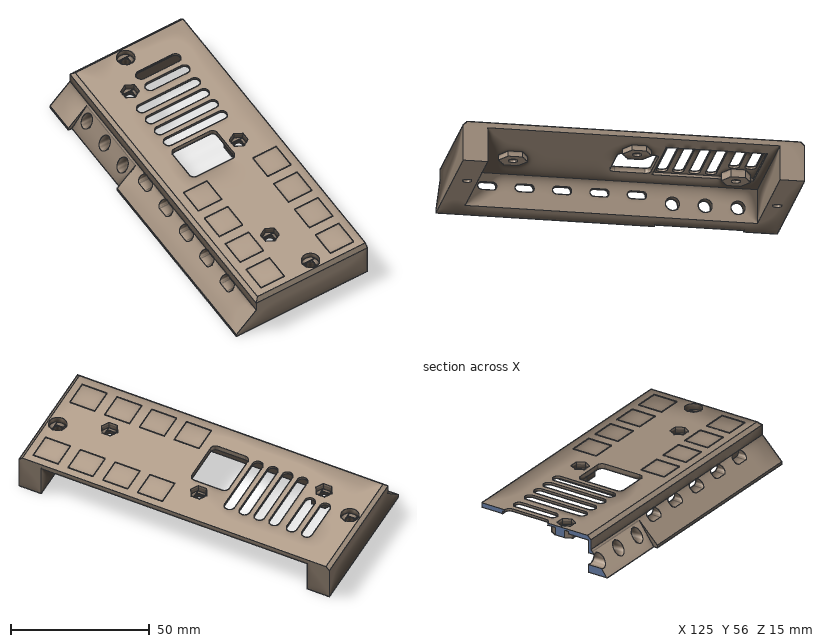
import cadquery as cq
import math

length = 125.0
depth = 56.0
height = 15.0

front_wall = 1.2
end_wall = 9.0
roof = 2.0
roof_underside = height - roof
edge_chamfer = 1.4

lip_height = 1.1
skirt_run = 8.5
skirt_top = lip_height + skirt_run

panel_left = 12.3
panel_right = 45.0
panel_setback = 1.5
panel_top_margin = 0.65
panel_top_y = skirt_run - panel_top_margin
panel_top_z = lip_height + panel_top_y
panel_hole_diameter = 5.1
panel_hole_count = 3
panel_hole_pitch = 12.0
panel_hole_first_x = 16.1
panel_hole_z = 5.6

front_slot_count = 5
front_slot_pitch = 13.7
front_slot_first_x = 53.1
front_slot_width = 7.0
front_slot_height = 3.0
front_slot_z = skirt_top - front_slot_height / 2

pad_size = 10.0
pad_depth = 0.3
pad_first_x = 73.8
pad_pitch = 14.0
pad_count = 4
pad_rows_y = (18.2, 47.8)

vent_width = 4.0
vent_back = 46.0
short_vent_front = 27.4
long_vent_front = 19.4
short_vents_x = (15.0, 21.1)
long_vents_x = (28.1, 34.1, 40.1, 46.1)
vent_roof = 1.0
vent_margin = 1.0

window_width = 15.0
window_depth = 19.0
window_radius = 2.0
window_center = (57.6, 28.8)

screw_head_points = ((5.2, 29.0), (119.8, 35.0))
nut_points = ((19.1, 22.0), (59.0, 43.0), (101.9, 29.0))
screw_diameter = 3.3
head_diameter = 6.6
nut_across_flats = 5.5
mouth_across_flats = 5.8
mouth_depth = 1.0
pocket_depth = 2.3
step_depth = 0.3
boss_across_flats = 9.2
boss_height = 4.0
hexagon_sides = 6


def block(x_range, y_range, z_range):
    """Axis-aligned box between pairs of limits."""
    size = [limits[1] - limits[0] for limits in (x_range, y_range, z_range)]
    corner = (x_range[0], y_range[0], z_range[0])
    return cq.Workplane("XY").box(*size, centered=False).translate(corner)


def make_body():
    """Solid outer shape: skirt profile along the full length, chamfered around the roof but not behind."""
    outline = [
        (0, 0),
        (depth, 0),
        (depth, height),
        (skirt_run, height),
        (skirt_run, skirt_top),
        (0, lip_height),
    ]
    body = cq.Workplane("YZ").polyline(outline).close().extrude(length)
    return body.faces(">Z").edges("<X or >X or <Y").chamfer(edge_chamfer)


def make_panel_cut():
    """Wedge removed from the skirt in front of the steeper panel."""
    panel_width = panel_right - panel_left
    outline = [(panel_setback, 0), (panel_top_y, panel_top_z), (0, panel_top_z), (0, 0)]
    wedge = cq.Workplane("YZ").polyline(outline).close().extrude(panel_width)
    return wedge.translate((panel_left, 0, 0))


def make_cavity():
    """Inside space, open below and behind, with upright walls."""
    return block((end_wall, length - end_wall), (skirt_run + front_wall, depth), (0, roof_underside))


def hexagon_corners(across_flats):
    """Corner-to-corner size of a regular hexagon."""
    return across_flats / math.cos(math.pi / hexagon_sides)


def make_vent_recess():
    """Recess under the roof that thins it around the vent slots."""
    reach = vent_width / 2 + vent_margin
    return block(
        (short_vents_x[0] - reach, long_vents_x[-1] + reach),
        (long_vent_front - vent_margin, vent_back + vent_margin),
        (roof_underside, height - vent_roof),
    )


def make_nut_bosses():
    """Hexagonal bosses under the roof that carry the nut pockets."""
    base_z = height - boss_height
    return (
        cq.Workplane("XY").workplane(offset=base_z)
        .pushPoints(nut_points).polygon(hexagon_sides, hexagon_corners(boss_across_flats))
        .extrude(boss_height - vent_roof)
    )


def make_nut_pocket():
    """Hexagonal pocket, standing on its floor, with a tapered mouth."""
    straight_depth = pocket_depth - mouth_depth
    pocket = cq.Workplane("XY").polygon(hexagon_sides, hexagon_corners(nut_across_flats)).extrude(pocket_depth)
    mouth = (
        cq.Workplane("XY").workplane(offset=straight_depth)
        .polygon(hexagon_sides, hexagon_corners(nut_across_flats))
        .workplane(offset=mouth_depth)
        .polygon(hexagon_sides, hexagon_corners(mouth_across_flats))
        .loft(ruled=True)
    )
    return pocket.union(mouth)


def cut_screw_hole(part, point, pocket):
    """Sink a pocket, then narrow it to the screw hole in two thin steps: a strip and a square."""
    x, y = point
    half = screw_diameter / 2
    pocket_floor = height - pocket_depth
    strip_floor = pocket_floor - step_depth
    square_floor = strip_floor - step_depth
    across = (x - half, x + half)
    pocket = pocket.translate((x, y, pocket_floor))
    strip_limits = block(across, (y - head_diameter, y + head_diameter), (strip_floor, pocket_floor))
    strip = pocket.translate((0, 0, -step_depth)).intersect(strip_limits)
    square = block(across, (y - half, y + half), (square_floor, strip_floor))
    hole = cq.Workplane("XY").circle(half).extrude(height).translate((x, y, 0))
    return part.cut(pocket).cut(strip).cut(square).cut(hole)


def cut_screw_holes(part):
    head_pocket = cq.Workplane("XY").circle(head_diameter / 2).extrude(pocket_depth)
    nut_pocket = make_nut_pocket()
    for point in screw_head_points:
        part = cut_screw_hole(part, point, head_pocket)
    for point in nut_points:
        part = cut_screw_hole(part, point, nut_pocket)
    return part


def make_vents(x_positions, front_y):
    center_y = (front_y + vent_back) / 2
    points = [(x, center_y) for x in x_positions]
    return (
        cq.Workplane("XY").workplane(offset=roof_underside)
        .pushPoints(points).slot2D(vent_back - front_y, vent_width, 90).extrude(roof)
    )


def make_window():
    window = cq.Workplane("XY").box(window_width, window_depth, height, centered=(True, True, False))
    return window.edges("|Z").fillet(window_radius).translate((*window_center, 0))


def make_pads():
    points = [(pad_first_x + i * pad_pitch, y) for i in range(pad_count) for y in pad_rows_y]
    return (
        cq.Workplane("XY").workplane(offset=height - pad_depth)
        .pushPoints(points).rect(pad_size, pad_size).extrude(pad_depth)
    )


def make_panel_holes():
    points = [(panel_hole_first_x + i * panel_hole_pitch, panel_hole_z) for i in range(panel_hole_count)]
    return cq.Workplane("XZ").pushPoints(points).circle(panel_hole_diameter / 2).extrude(-depth)


def make_front_slots():
    points = [(front_slot_first_x + i * front_slot_pitch, front_slot_z) for i in range(front_slot_count)]
    return cq.Workplane("XZ").pushPoints(points).slot2D(front_slot_width, front_slot_height).extrude(-depth)


result = make_body().cut(make_cavity()).cut(make_vent_recess()).union(make_nut_bosses())
result = result.cut(make_panel_cut())
result = cut_screw_holes(result)
result = result.cut(make_vents(short_vents_x, short_vent_front))
result = result.cut(make_vents(long_vents_x, long_vent_front))
result = result.cut(make_window()).cut(make_pads())
result = result.cut(make_panel_holes()).cut(make_front_slots())